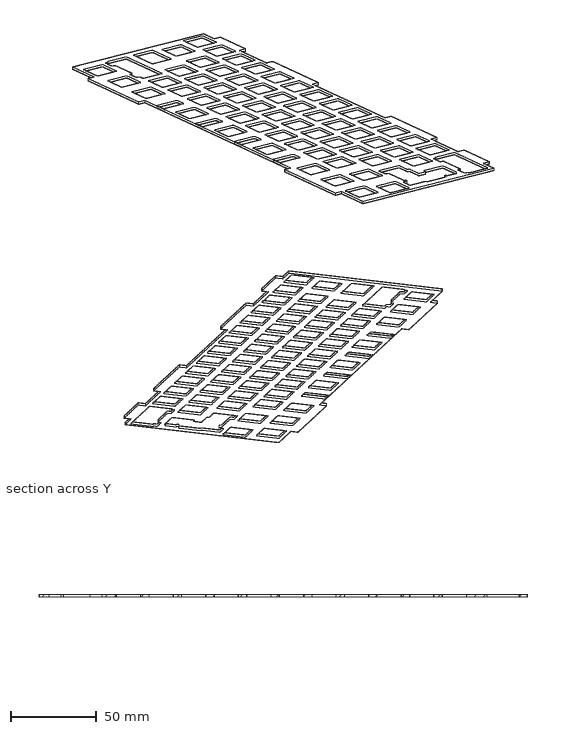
import cadquery as cq

plate_length = 285.5
plate_depth = 95.3
overall_depth = 104.2
thickness = 1.5
tab_reach = (overall_depth - plate_depth) / 2

rear_tabs = [(35.7, 80.8), (107.3, 132.2)]
front_tabs = [(71.6, 121.5)]

grid_length = 285.7
keys_per_row = 15
pitch = grid_length / keys_per_row
switch_size = 14.0
corner_radius = 0.5

stabilizer_offset = 12.0
stabilizer_width = 6.9
stabilizer_rear = 5.7
stabilizer_front = 9.0

number_row, tab_row, home_row, shift_row, space_row = 2, 1, 0, -1, -2


def key_run(first, count):
    """Columns of neighbouring keys, in pitches from the plate centre."""
    return [first + step for step in range(count)]


switch_columns = {
    number_row: key_run(-7, 13),
    tab_row: [-6.75] + key_run(-5.5, 12) + [6.75],
    home_row: key_run(-5.25, 11) + [6.375],
    shift_row: key_run(-4.75, 10) + [5.625, 7],
    space_row: [-6.75, -5.5, -4.25, -2, 0, 2, 4.25, 5.5, 6.75],
}

wide_openings = [
    (number_row, 6, 7),
    (home_row, -6.875, -6.625),
    (shift_row, -6.875, -5.75),
]

backspace = (number_row, 6.5)
left_shift = (shift_row, -6.375)
enter = (home_row, 6.375)
space_slot_columns = [-3, -1, 1, 3]

tall_enter_row = 0.5
tall_enter_column = 6.875


def block(x_min, x_max, y_min, y_max):
    """Plate-thick block over the given rectangle."""
    return (
        cq.Workplane("XY", origin=(0, 0, -thickness / 2))
        .center((x_min + x_max) / 2, (y_min + y_max) / 2)
        .rect(x_max - x_min, y_max - y_min)
        .extrude(thickness)
    )


def switch_opening(row, left_column, right_column):
    half = switch_size / 2
    y = row * pitch
    return block(left_column * pitch - half, right_column * pitch + half, y - half, y + half)


def stabilizer_slot(x, y):
    half = stabilizer_width / 2
    return block(x - half, x + half, y - stabilizer_front, y + stabilizer_rear)


def stabilizer_pair(row, column):
    x = column * pitch
    y = row * pitch
    return [stabilizer_slot(x + side * stabilizer_offset, y) for side in (-1, 1)]


def tall_enter_opening():
    """Switch opening with its stabilizer pair turned upright, longer side to the left."""
    x = tall_enter_column * pitch
    y = tall_enter_row * pitch
    half = stabilizer_width / 2
    cuts = [switch_opening(tall_enter_row, tall_enter_column, tall_enter_column)]
    for side in (-1, 1):
        slot_y = y + side * stabilizer_offset
        cuts.append(block(x - stabilizer_front, x + stabilizer_rear, slot_y - half, slot_y + half))
    return cuts


def enter_links():
    """Openings that join the enter switch to the stabilizer slot on either side of it."""
    row, column = enter
    x = column * pitch
    y = row * pitch
    rear = y + stabilizer_rear
    left_link = block(x - stabilizer_offset, x, y - switch_size / 2, rear)
    right_link = block(x, x + stabilizer_offset, y - stabilizer_rear, rear)
    return [left_link, right_link]


def make_plate():
    half_depth = plate_depth / 2
    plate = block(-plate_length / 2, plate_length / 2, -half_depth, half_depth)
    tab_end = half_depth + tab_reach
    for start, end in rear_tabs:
        plate = plate.union(block(start, end, 0, tab_end))
        plate = plate.union(block(-end, -start, 0, tab_end))
    for start, end in front_tabs:
        plate = plate.union(block(start, end, -tab_end, 0))
        plate = plate.union(block(-end, -start, -tab_end, 0))
    return plate


def make_openings():
    cuts = []
    for row, columns in switch_columns.items():
        cuts += [switch_opening(row, column, column) for column in columns]
    cuts += [switch_opening(*opening) for opening in wide_openings]
    for key in (backspace, left_shift, enter):
        cuts += stabilizer_pair(*key)
    cuts += [stabilizer_slot(column * pitch, space_row * pitch) for column in space_slot_columns]
    cuts += tall_enter_opening()
    cuts += enter_links()
    return cuts


openings = cq.Workplane("XY")
for cut in make_openings():
    openings = openings.union(cut)
openings = openings.edges("|Z").fillet(corner_radius)

result = make_plate().cut(openings)